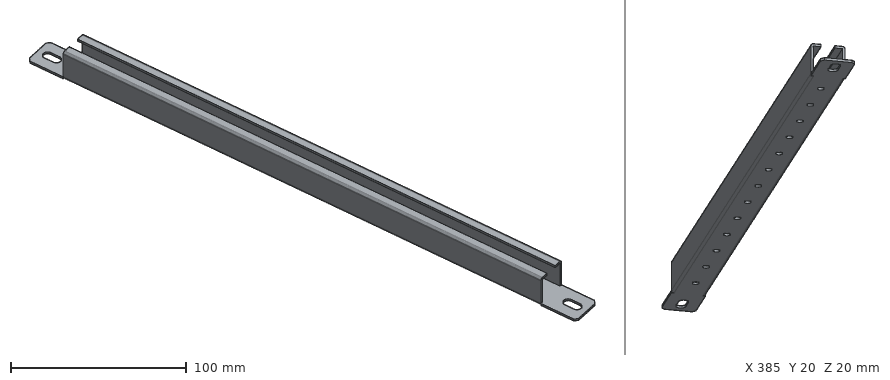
import cadquery as cq

total_length = 385.0
width = 20.0
height = 20.0
thickness = 1.5
bend_radius = 1.5
lip_gap = 8.0

tab_length = 25.0
tab_corner_chamfer = 2.0
slot_length = 12.0
slot_width = 5.8
slot_end_distance = 10.0

hole_count = 13
hole_pitch = 25.0
hole_diameter = 4.0

channel_length = total_length - 2 * tab_length
slot_spacing = total_length - 2 * slot_end_distance


def make_channel():
    """Square tube with rounded outer bends, opened along the top between two lips."""
    outer = (
        cq.Workplane("XY")
        .box(channel_length, width, height, centered=(True, True, False))
        .edges("|X")
        .fillet(bend_radius)
    )
    cavity = (
        cq.Workplane("XY")
        .workplane(offset=thickness)
        .box(
            channel_length,
            width - 2 * thickness,
            height - 2 * thickness,
            centered=(True, True, False),
        )
    )
    opening = (
        cq.Workplane("XY")
        .workplane(offset=height - thickness)
        .box(channel_length, lip_gap, thickness, centered=(True, True, False))
    )
    return outer.cut(cavity).cut(opening)


def make_tab(side):
    """Flat tab with chamfered free corners; side is -1 or +1 along X."""
    center_x = side * (total_length - tab_length) / 2
    free_end = ">X" if side > 0 else "<X"
    return (
        cq.Workplane("XY")
        .center(center_x, 0)
        .box(tab_length, width, thickness, centered=(True, True, False))
        .faces(free_end)
        .edges("|Z")
        .chamfer(tab_corner_chamfer)
    )


def make_floor_cutters():
    """Round holes along the floor and one slot in each tab."""
    holes = (
        cq.Workplane("XY")
        .rarray(hole_pitch, 4, hole_count, 1)
        .circle(hole_diameter / 2)
        .extrude(thickness)
    )
    slots = (
        cq.Workplane("XY")
        .rarray(slot_spacing, 4, 2, 1)
        .slot2D(slot_length, slot_width)
        .extrude(thickness)
    )
    return holes.add(slots).combine()


body = make_channel().union(make_tab(-1)).union(make_tab(1))
result = body.cut(make_floor_cutters())